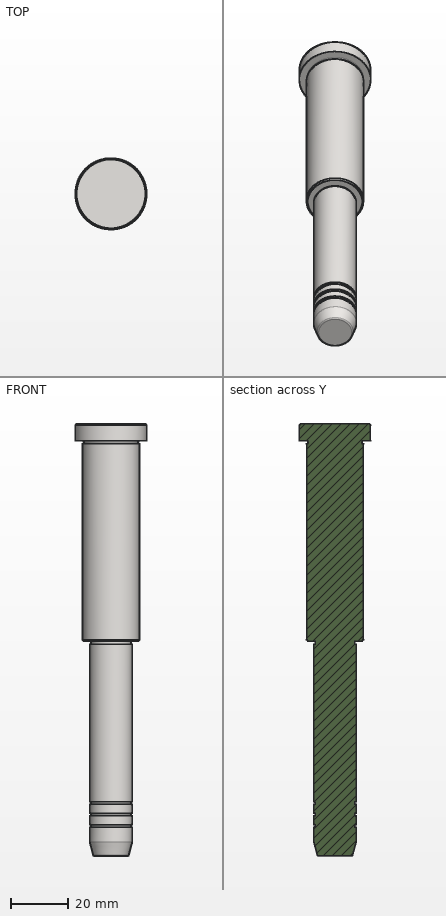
import cadquery as cq
import math

total_length = 151.0
head_height = 6.0
shoulder_length = 70.0
nose_height = 5.0

head_radius = 25.0 / 2
shoulder_radius = 20.0 / 2
pin_radius = 15.0 / 2

head_chamfer = 0.5
shoulder_chamfer = 0.5
nose_half_angle = 15.0
nose_edge_fillet = 0.5

groove_width = 1.0
groove_depth = 0.5
groove_corner_radius = 0.49
groove_pitch = 4.0
groove_count = 3
lowest_groove_bottom = 10.0

head_bottom = total_length - head_height
shoulder_bottom = head_bottom - shoulder_length
nose_tip_radius = pin_radius - nose_height * math.tan(math.radians(nose_half_angle))


def cylinder(radius, bottom, height):
    """Cylinder on the Z axis."""
    return cq.Workplane("XY").workplane(offset=bottom).circle(radius).extrude(height)


def make_head():
    """Flat disc head with its upper rim chamfered."""
    head = cylinder(head_radius, head_bottom, head_height)
    return head.faces(">Z").edges().chamfer(head_chamfer)


def make_shoulder():
    """Thick shank below the head with its lower rim chamfered."""
    shoulder = cylinder(shoulder_radius, shoulder_bottom, shoulder_length)
    return shoulder.faces("<Z").edges().chamfer(shoulder_chamfer)


def make_pin():
    """Thin pin ending in a conical nose with a rounded tip edge."""
    profile = (
        cq.Workplane("XZ")
        .moveTo(0, 0)
        .lineTo(nose_tip_radius, 0)
        .lineTo(pin_radius, nose_height)
        .lineTo(pin_radius, shoulder_bottom)
        .lineTo(0, shoulder_bottom)
        .close()
    )
    pin = profile.revolve(360, (0, 0, 0), (0, 1, 0))
    return pin.faces("<Z").edges().fillet(nose_edge_fillet)


def square_groove_ring(surface_radius, bottom):
    """Ring that cuts a square-cornered groove, starting at the level bottom, into a cylinder."""
    ring = cq.Workplane("XY").workplane(offset=bottom).circle(surface_radius)
    return ring.circle(surface_radius - groove_depth).extrude(groove_width)


def round_groove_ring(surface_radius, bottom):
    """Groove ring with both floor corners filleted until almost no flat floor is left."""
    floor_edges = cq.selectors.RadiusNthSelector(0)
    return square_groove_ring(surface_radius, bottom).edges(floor_edges).fillet(groove_corner_radius)


result = make_head().union(make_shoulder()).union(make_pin())

result = result.cut(round_groove_ring(shoulder_radius, head_bottom - groove_width))
result = result.cut(square_groove_ring(pin_radius, shoulder_bottom - groove_width))

for index in range(groove_count):
    groove_bottom = lowest_groove_bottom + index * groove_pitch
    result = result.cut(round_groove_ring(pin_radius, groove_bottom))